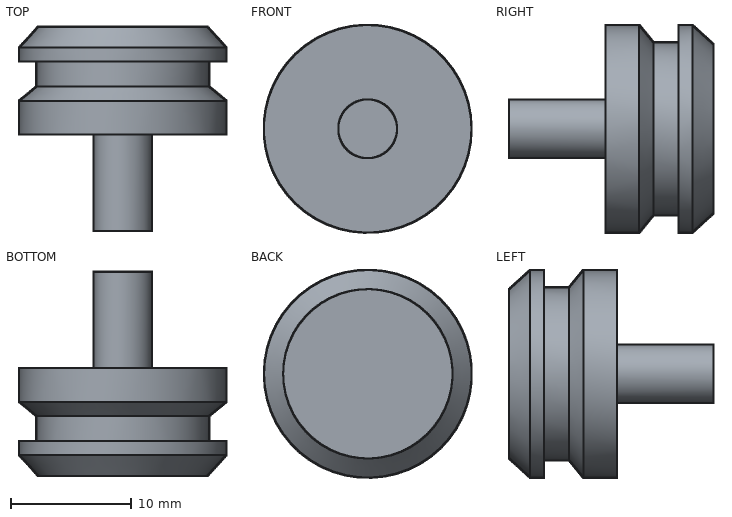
import cadquery as cq

head_diameter = 17.3
groove_diameter = 14.43
end_face_diameter = 14.08
shaft_diameter = 4.9

shaft_length = 8.01
flange_length = 2.82
groove_cone_length = 1.18
groove_length = 2.08
rim_length = 1.16
end_chamfer_length = 1.76

head_radius = head_diameter / 2
groove_radius = groove_diameter / 2
end_face_radius = end_face_diameter / 2
shaft_radius = shaft_diameter / 2

shaft_tip = -shaft_length
flange_end = flange_length
groove_start = flange_end + groove_cone_length
groove_end = groove_start + groove_length
rim_end = groove_end + rim_length
end_face = rim_end + end_chamfer_length

half_profile = [
    (0, shaft_tip),
    (shaft_radius, shaft_tip),
    (shaft_radius, 0),
    (head_radius, 0),
    (head_radius, flange_end),
    (groove_radius, groove_start),
    (groove_radius, groove_end),
    (head_radius, groove_end),
    (head_radius, rim_end),
    (end_face_radius, end_face),
    (0, end_face),
]

result = cq.Workplane("XY").polyline(half_profile).close().revolve(360, (0, 0, 0), (0, 1, 0))